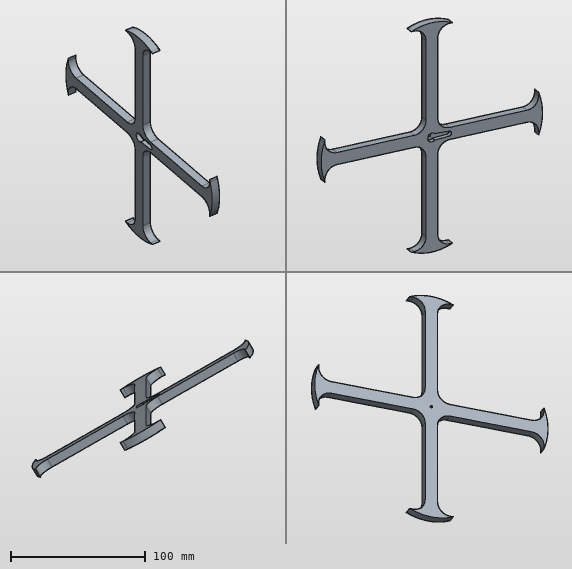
import cadquery as cq
import math

thickness = 7.0
side_reach = 93.16
upright_reach = 93.6
arm_width = 10.0
fillet_radius = 10.0

cap_half_width = 17.5
cap_inner_edge = 89.9

recess_depth = 4.0
lever_hub_radius = 3.5
lever_length = 16.5
lever_root_half_width = 2.8
lever_tip_half_width = 2.0
pivot_hole_diameter = 1.61

front_y = -thickness / 2


def front_plane():
    """Sketch plane on the -Y face: local x is X, local y is Z."""
    return cq.Workplane("XZ", origin=(0, front_y, 0))


def make_arm(reach, angle):
    """One arm with its filleted cap, turned about Y from the +X direction."""
    half_width = arm_width / 2
    flare_start = cap_inner_edge - fillet_radius
    flare_half_width = half_width + fillet_radius
    inset = fillet_radius * (1 - math.sqrt(0.5))
    arc_mid_x = cap_inner_edge - inset
    arc_mid_z = half_width + inset
    return (
        front_plane()
        .moveTo(0, -half_width)
        .lineTo(flare_start, -half_width)
        .threePointArc((arc_mid_x, -arc_mid_z), (cap_inner_edge, -flare_half_width))
        .lineTo(cap_inner_edge, -cap_half_width)
        .threePointArc((reach, 0), (cap_inner_edge, cap_half_width))
        .lineTo(cap_inner_edge, flare_half_width)
        .threePointArc((arc_mid_x, arc_mid_z), (flare_start, half_width))
        .lineTo(0, half_width)
        .close()
        .extrude(-thickness)
        .rotate((0, 0, 0), (0, 1, 0), angle)
    )


def make_hub():
    """Square hub with a concave quarter round between neighbouring arms."""
    corner_centre = arm_width / 2 + fillet_radius
    rounds = (
        front_plane()
        .rect(2 * corner_centre, 2 * corner_centre, forConstruction=True)
        .vertices()
        .circle(fillet_radius)
        .extrude(-thickness)
    )
    return front_plane().rect(2 * corner_centre, 2 * corner_centre).extrude(-thickness).cut(rounds)


def make_lever_recess():
    """Round lever hub with a tapered, round-ended lever along +X."""
    tip_start = lever_length - lever_tip_half_width
    lever = (
        front_plane()
        .moveTo(0, -lever_root_half_width)
        .lineTo(tip_start, -lever_tip_half_width)
        .threePointArc((lever_length, 0), (tip_start, lever_tip_half_width))
        .lineTo(0, lever_root_half_width)
        .close()
        .extrude(-recess_depth)
    )
    return front_plane().circle(lever_hub_radius).extrude(-recess_depth).union(lever)


body = make_hub()
for reach, angles in ((side_reach, (0, 180)), (upright_reach, (90, 270))):
    for angle in angles:
        body = body.union(make_arm(reach, angle))

pivot_hole = front_plane().circle(pivot_hole_diameter / 2).extrude(-thickness)
result = body.cut(make_lever_recess()).cut(pivot_hole)